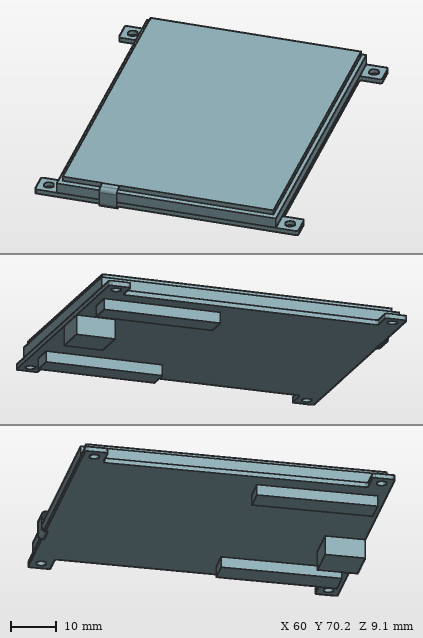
import cadquery as cq

board_length = 50.0
board_width = 69.2
board_thickness = 1.1
overall_length = 60.0

tab_width = 5.0
tab_corner_radius = 0.5
tab_root_radius = 0.5
hole_diameter = 2.2
hole_inset = 2.5

header_length = 5.2
header_width = 27.0
header_height = 2.5
header_rear_inset = 2.0
header_centers_x = (-18.6, 18.6)
connector_length = 8.0
connector_width = 9.0
connector_height = 4.5
connector_center_x = -4.9

frame_height = 2.4
panel_length = 48.0
panel_rear_inset = 0.6
panel_front_inset = 1.4
panel_width = board_width - panel_rear_inset - panel_front_inset
panel_height = 1.1

cable_width = 4.0
cable_thickness = 0.05
cable_drop = 0.3
cable_center_x = -13.0
cable_bend_radius = 1.0
cable_reach = cable_bend_radius
cable_tail = 0.4

board_front_y = -board_width / 2
board_rear_y = board_width / 2
board_bottom_z = -board_thickness
panel_top_z = frame_height + panel_height
panel_front_y = board_front_y + panel_front_inset


def block(length, width, height, center_x, center_y, bottom_z):
    """Plain box placed by the centre of its bottom face."""
    return (
        cq.Workplane("XY")
        .box(length, width, height, centered=(True, True, False))
        .translate((center_x, center_y, bottom_z))
    )


def make_board():
    """Circuit board with four drilled tabs and the two headers beneath it."""
    board = block(board_length, board_width, board_thickness, 0, 0, board_bottom_z)
    tab_center_y = (board_width - tab_width) / 2
    for side in (-1, 1):
        board = board.union(
            block(overall_length, tab_width, board_thickness, 0, side * tab_center_y, board_bottom_z)
        )
    board = board.edges("|Z and (<X or >X)").fillet(tab_corner_radius)

    root_x = board_length / 2
    root_y = board_width / 2 - tab_width
    margin = tab_root_radius
    root_box = cq.selectors.BoxSelector(
        (-root_x - margin, -root_y - margin, board_bottom_z - margin),
        (root_x + margin, root_y + margin, margin),
    )
    board = board.edges("|Z").edges(root_box).fillet(tab_root_radius)

    holes = (
        cq.Workplane("XY")
        .rect(overall_length - 2 * hole_inset, board_width - 2 * hole_inset, forConstruction=True)
        .vertices()
        .circle(hole_diameter / 2)
        .extrude(-board_thickness)
    )
    board = board.cut(holes)

    header_center_y = board_rear_y - header_rear_inset - header_width / 2
    header_bottom_z = board_bottom_z - header_height
    for center_x in header_centers_x:
        header = block(
            header_length, header_width, header_height,
            center_x, header_center_y, header_bottom_z,
        )
        board = board.union(header)

    return board


def make_connector():
    """Connector under the board, flush with its rear edge."""
    center_y = board_rear_y - connector_width / 2
    bottom_z = board_bottom_z - connector_height
    return block(connector_length, connector_width, connector_height, connector_center_x, center_y, bottom_z)


def make_frame():
    """Display frame, flush with the edges of the board."""
    return block(board_length, board_width, frame_height, 0, 0, 0)


def make_cable():
    """C-shaped strip from the front edge of the panel round to beneath the board."""
    front_y = board_front_y - cable_reach
    bottom_z = board_bottom_z - cable_drop
    tail_y = board_front_y + cable_tail
    bend_y = front_y + cable_bend_radius
    upper_bend_z = panel_top_z - cable_bend_radius
    lower_bend_z = bottom_z + cable_bend_radius
    inner_radius = cable_bend_radius - cable_thickness
    inner_y = front_y + cable_thickness
    inner_top_z = panel_top_z - cable_thickness
    inner_bottom_z = bottom_z + cable_thickness

    strip = (
        cq.Workplane("YZ")
        .moveTo(panel_front_y, panel_top_z)
        .lineTo(bend_y, panel_top_z)
        .radiusArc((front_y, upper_bend_z), -cable_bend_radius)
        .lineTo(front_y, lower_bend_z)
        .radiusArc((bend_y, bottom_z), -cable_bend_radius)
        .lineTo(tail_y, bottom_z)
        .lineTo(tail_y, inner_bottom_z)
        .lineTo(bend_y, inner_bottom_z)
        .radiusArc((inner_y, lower_bend_z), inner_radius)
        .lineTo(inner_y, upper_bend_z)
        .radiusArc((bend_y, inner_top_z), inner_radius)
        .lineTo(panel_front_y, inner_top_z)
        .close()
        .extrude(cable_width / 2, both=True)
    )
    return strip.translate((cable_center_x, 0, 0))


def make_panel():
    """Glass panel on the frame, with its flat cable."""
    panel_center_y = panel_front_y + panel_width / 2
    glass = block(panel_length, panel_width, panel_height, 0, panel_center_y, frame_height)
    return glass.union(make_cable())


board = make_board()
connector = make_connector()
frame = make_frame()
panel = make_panel()

result = cq.Compound.makeCompound([board.val(), connector.val(), frame.val(), panel.val()])